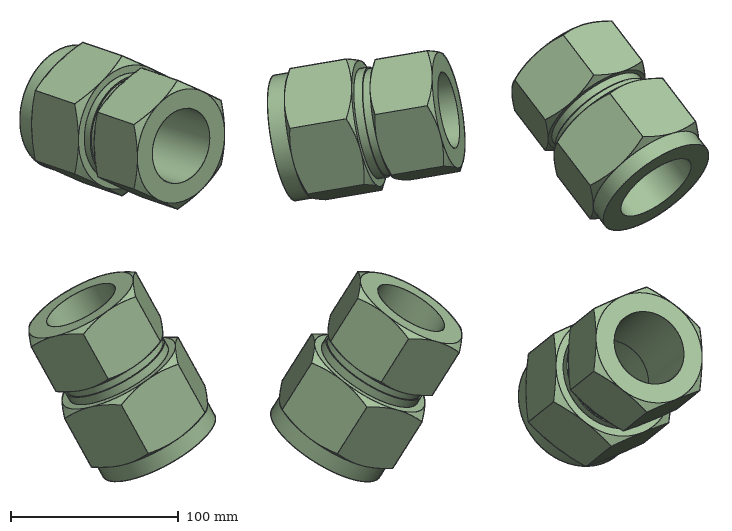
import cadquery as cq
import math

total_length = 101.6
collar_end = 10.6
large_hex_end = 52.4
wide_neck_end = 57.7
small_hex_start = 63.0

large_hex_flats = 76.2
small_hex_flats = 70.1
collar_diameter = large_hex_flats
wide_neck_diameter = 66.9
narrow_neck_diameter = 65.0

seat_diameter = 50.8
through_diameter = 46.1
seat_depth = large_hex_end

hex_sides = 6

corner_angle = 30.0


def cylinder(diameter, start, end):
    """Solid cylinder along X."""
    return cq.Workplane("YZ", origin=(start, 0, 0)).circle(diameter / 2).extrude(end - start)


def hexagon(flats, start, end):
    """Hexagonal prism along X, corners up and down, with both ends turned to a cone."""
    corners = flats / math.cos(math.pi / hex_sides)
    prism = (
        cq.Workplane("YZ", origin=(start, 0, 0))
        .transformed(rotate=(0, 0, 90))
        .polygon(hex_sides, corners)
        .extrude(end - start)
    )
    corner_rise = (corners - flats) / 2
    corner_setback = corner_rise * math.tan(math.radians(corner_angle))
    envelope = (
        cq.Workplane("XY")
        .moveTo(start, 0)
        .lineTo(start, flats / 2)
        .lineTo(start + corner_setback, corners / 2)
        .lineTo(end - corner_setback, corners / 2)
        .lineTo(end, flats / 2)
        .lineTo(end, 0)
        .close()
        .revolve(360, (0, 0, 0), (1, 0, 0))
    )
    return prism.intersect(envelope)


body = (
    cylinder(collar_diameter, 0, collar_end)
    .union(hexagon(large_hex_flats, collar_end, large_hex_end))
    .union(cylinder(wide_neck_diameter, large_hex_end, wide_neck_end))
    .union(cylinder(narrow_neck_diameter, wide_neck_end, small_hex_start))
    .union(hexagon(small_hex_flats, small_hex_start, total_length))
)

seat = cylinder(seat_diameter, 0, seat_depth)
through_hole = cylinder(through_diameter, 0, total_length)

result = body.cut(seat).cut(through_hole)